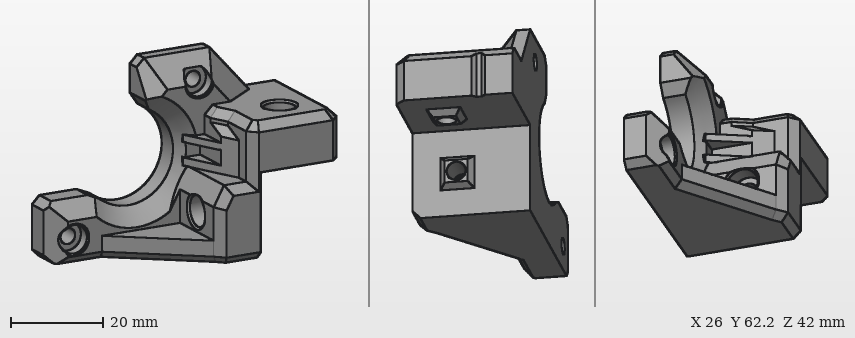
import cadquery as cq

width = 26.0
length = 62.2
height = 42.0

plate_thickness = 9.0
step_y = 42.3
foot_bottom_z = 19.8
foot_top_z = 31.0
slope_foot_y = 52.15
plate_front_y = 24.3
arm_top_z = 13.75
corner_chamfer = 1.85
bottom_chamfer = 1.75
edge_chamfer = 2.05
arm_bevel = 3.9
head_bevel = 6.0

screw_spacing = 31.0
arm_screw_y = 5.6
arm_screw_z = 5.5
motor_y = arm_screw_y + screw_spacing / 2
motor_z = arm_screw_z + screw_spacing / 2
motor_radius = 11.1
arm_relief_y = 11.0
opening_arm_y = 14.0
opening_arm_z = 12.45
head_front_low_z = 33.6
opening_head_y = 26.25
opening_head_z = 30.7
motor_screw_diameter = 3.6
motor_screw_head_diameter = 6.5
motor_screw_head_x = 6.0
motor_screw_rim = 0.4

block_front_y = 39.75
floor_z = 17.55
floor_front_y = 34.3
wall_front_y = 31.75
wall_slope_low_z = 12.95

rib_front_y = 37.8
step_start_x = 11.65
step_end_x = 15.85
rib_corner_x = 7.15
rib_corner_y = 33.55
rib_end_x = 20.8
rib_shelf_z = 24.6
rib_top_z = 28.05
slot_bottom_z = 19.4
slot_top_z = 22.9

gusset_top_z = 5.35
gusset_front_y = 12.4

frame_screw_diameter = 4.2
frame_head_diameter = 7.1
frame_head_rim = 0.5
frame_head_depth = 4.35
foot_screw_x = 16.5
foot_screw_y = 52.2
wall_screw_x = 16.05
wall_screw_z = 9.85
key_base = 7.45
key_tip = 5.1
key_height = 1.5

pick_margin = 0.6

groove_center_x = 7.5
groove_width = 3.0
groove_floor_width = 1.1
groove_depth = 0.95


def plate_bevel(start, end, size):
    """Wedge along an inner plate edge running from start to end in (Y, Z), material on the left."""
    direction = cq.Vector(0, end[0] - start[0], end[1] - start[1])
    plane = cq.Plane(origin=(plate_thickness, *start), xDir=(1, 0, 0), normal=direction.toTuple())
    triangle = [(-size, 0), (0, 0), (0, -size)]
    return cq.Workplane(plane).polyline(triangle).close().extrude(direction.Length)


def motor_plate():
    """Plate with bevelled inner edges and the round motor opening."""
    outline = [
        (step_y, 0),
        (bottom_chamfer, 0),
        (0, bottom_chamfer),
        (0, arm_top_z - corner_chamfer),
        (corner_chamfer, arm_top_z),
        (arm_relief_y, arm_top_z),
        (opening_arm_y, opening_arm_z),
        (motor_y, motor_z),
        (opening_head_y, opening_head_z),
        (plate_front_y, head_front_low_z),
        (plate_front_y, height - corner_chamfer),
        (plate_front_y + corner_chamfer, height),
        (step_y, height),
        (slope_foot_y, foot_top_z),
        (slope_foot_y, foot_bottom_z),
        (step_y, foot_bottom_z),
    ]
    plate = cq.Workplane("YZ").polyline(outline).close().extrude(plate_thickness)

    head_corner = (plate_front_y + corner_chamfer, height)
    head_side = (plate_front_y - head_bevel, height - corner_chamfer - head_bevel)
    plate = plate.cut(plate_bevel((slope_foot_y, foot_top_z), (step_y, height), head_bevel))
    plate = plate.cut(plate_bevel((step_y, height), head_corner, head_bevel))
    plate = plate.cut(plate_bevel(head_corner, head_side, head_bevel))
    plate = plate.cut(plate_bevel((motor_y, arm_top_z), (0, arm_top_z), arm_bevel))
    plate = plate.cut(plate_bevel((0, arm_top_z), (0, 0), arm_bevel))
    plate = plate.cut(plate_bevel((0, 0), (step_y, 0), bottom_chamfer))

    flare_x = plate_thickness - arm_bevel
    opening_section = [
        (0, 0),
        (0, motor_radius),
        (flare_x, motor_radius),
        (plate_thickness, motor_radius + arm_bevel),
        (plate_thickness, 0),
    ]
    opening = cq.Workplane("XY").polyline(opening_section).close().revolve(360, (0, 0), (1, 0))
    return plate.cut(opening.translate((0, motor_y, motor_z)))


def frame_block():
    """Foot and wall, in one profile across the full width."""
    outline = [
        (step_y, gusset_top_z),
        (wall_front_y, gusset_top_z),
        (wall_front_y, wall_slope_low_z),
        (floor_front_y, floor_z),
        (block_front_y, floor_z),
        (block_front_y, foot_top_z),
        (length, foot_top_z),
        (length, foot_bottom_z),
        (step_y, foot_bottom_z),
    ]
    block = cq.Workplane("YZ").polyline(outline).close().extrude(width)

    seat = cq.selectors.BoxSelector(
        (width - pick_margin, step_y - pick_margin, gusset_top_z + pick_margin),
        (width + pick_margin, length - pick_margin, foot_bottom_z + pick_margin),
    )
    side_edges = block.faces(">X").edges("not (>Z or <Z)")
    block = side_edges.edges(cq.selectors.InverseSelector(seat)).chamfer(edge_chamfer)
    return block.faces(">Z").edges("not <X").chamfer(edge_chamfer)


def wall_cheek():
    """Strip beside the plate where the wall's slope runs on down to the gusset."""
    slope = (floor_front_y - wall_front_y) / (floor_z - wall_slope_low_z)
    toe_y = wall_front_y - (wall_slope_low_z - gusset_top_z) * slope
    outline = [(wall_front_y, wall_slope_low_z), (toe_y, gusset_top_z), (wall_front_y, gusset_top_z)]
    return cq.Workplane("YZ").polyline(outline).close().extrude(plate_thickness)


def stepped_front():
    """Part of the foot next to the plate, standing forward of the rest."""
    plan = [
        (0, rib_front_y),
        (step_start_x, rib_front_y),
        (step_end_x, block_front_y),
        (rib_end_x, block_front_y),
        (rib_end_x, step_y + edge_chamfer),
        (0, step_y + edge_chamfer),
    ]
    front = cq.Workplane("XY").workplane(offset=foot_bottom_z).polyline(plan).close()
    front = front.extrude(foot_top_z - foot_bottom_z)
    front_edges = cq.selectors.BoxSelector(
        (-pick_margin, rib_front_y - pick_margin, foot_top_z - pick_margin),
        (rib_end_x - pick_margin, block_front_y + pick_margin, foot_top_z + pick_margin),
    )
    return front.edges(front_edges).chamfer(edge_chamfer)


def diagonal_rib():
    """Slanted rib between the floor and the stepped front, with a shelf on its front half."""
    plan = [
        (0, rib_corner_y),
        (rib_corner_x, rib_corner_y),
        (rib_end_x, block_front_y),
        (rib_end_x, step_y),
        (0, step_y),
    ]
    rib = cq.Workplane("XY").workplane(offset=floor_z).polyline(plan).close()
    rib = rib.extrude(rib_top_z - floor_z)
    middle = ((rib_corner_x + rib_end_x) / 2, (rib_corner_y + block_front_y) / 2, rib_top_z)
    rib = rib.edges(cq.selectors.NearestToPointSelector(middle)).chamfer(edge_chamfer)
    shelf = cq.Workplane("XY").box(width, rib_front_y, height, centered=False)
    return rib.cut(shelf.translate((0, 0, rib_shelf_z))).cut(rib_slot(0))


def gusset():
    """Flat triangular base with its outer bottom edges bevelled."""
    plan = [
        (0, gusset_front_y),
        (plate_thickness, gusset_front_y),
        (width - edge_chamfer, wall_front_y),
        (width, wall_front_y + edge_chamfer),
        (width, step_y),
        (0, step_y),
    ]
    plate = cq.Workplane("XY").polyline(plan).close().extrude(gusset_top_z)
    outer_edges = plate.faces("<Z").edges("not (<X or <Y or >Y)")
    return outer_edges.chamfer(bottom_chamfer)


def rib_slot(start_x):
    """Horizontal slot through the rib, from start_x to the end of the rib."""
    slot = cq.Workplane("XY").box(
        rib_end_x - start_x, rib_front_y - wall_front_y, slot_top_z - slot_bottom_z, centered=False
    )
    return slot.translate((start_x, wall_front_y, slot_bottom_z))


def motor_screw(y, z):
    """Clearance hole through the plate with a head pocket opening to the inner side."""
    head_radius = motor_screw_head_diameter / 2
    hole = cq.Workplane("YZ").center(y, z).circle(motor_screw_diameter / 2).extrude(plate_thickness)
    head = cq.Workplane("YZ").workplane(offset=motor_screw_head_x).center(y, z).circle(head_radius)
    head = head.extrude(plate_thickness - motor_screw_head_x)
    rim = cq.Workplane("YZ").workplane(offset=plate_thickness).center(y, z)
    rim = rim.circle(head_radius + motor_screw_rim)
    rim = rim.workplane(offset=-motor_screw_rim).circle(head_radius).loft()
    return hole.union(head).union(rim)


def frame_key(plane):
    """Tapered square key that sits in the slot of the frame."""
    base = cq.Workplane(plane).rect(key_base, key_base)
    return base.workplane(offset=key_height).rect(key_tip, key_tip).loft()


def frame_screw(plane, depth):
    """Counterbored hole with a chamfered rim, cut down from the given plane."""
    head_radius = frame_head_diameter / 2
    section = [
        (0, 0),
        (head_radius + frame_head_rim, 0),
        (head_radius, -frame_head_rim),
        (head_radius, -frame_head_depth),
        (frame_screw_diameter / 2, -frame_head_depth),
        (frame_screw_diameter / 2, -depth),
        (0, -depth),
    ]
    tool = cq.Workplane("XZ").polyline(section).close().revolve(360, (0, 0), (0, 1))
    return tool.val().moved(plane.location)


def rear_groove():
    """Upright groove with sloping sides."""
    bottom_y = length - groove_depth
    plan = [
        (groove_center_x - groove_width / 2, length),
        (groove_center_x - groove_floor_width / 2, bottom_y),
        (groove_center_x + groove_floor_width / 2, bottom_y),
        (groove_center_x + groove_width / 2, length),
    ]
    return cq.Workplane("XY").polyline(plan).close().extrude(height)


foot_key_plane = cq.Plane((foot_screw_x, foot_screw_y, foot_bottom_z), (1, 0, 0), (0, 0, -1))
wall_key_plane = cq.Plane((wall_screw_x, step_y, wall_screw_z), (1, 0, 0), (0, 1, 0))
foot_screw_plane = cq.Plane((foot_screw_x, foot_screw_y, foot_top_z), (1, 0, 0), (0, 0, 1))
wall_screw_plane = cq.Plane((wall_screw_x, wall_front_y, wall_screw_z), (1, 0, 0), (0, -1, 0))

result = motor_plate()
for solid in (frame_block(), stepped_front(), diagonal_rib(), wall_cheek(), gusset()):
    result = result.union(solid)
for key_plane in (foot_key_plane, wall_key_plane):
    result = result.union(frame_key(key_plane))

result = result.cut(rib_slot(rib_corner_x)).cut(rear_groove())
for offset in (0, screw_spacing):
    result = result.cut(motor_screw(arm_screw_y + offset, arm_screw_z + offset))
result = result.cut(frame_screw(foot_screw_plane, foot_top_z - foot_bottom_z + key_height))
result = result.cut(frame_screw(wall_screw_plane, step_y - wall_front_y + key_height))